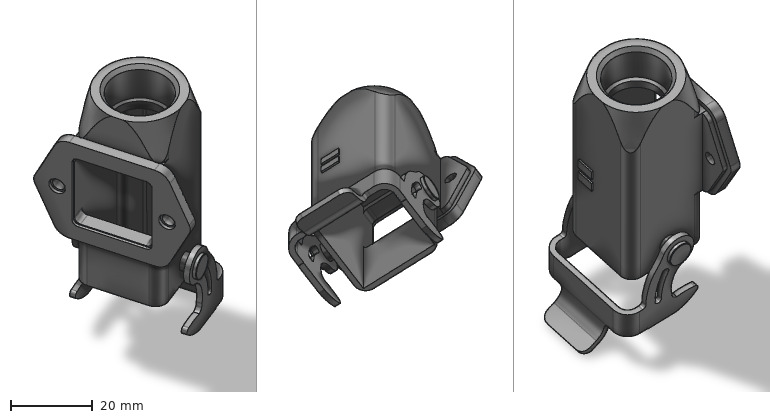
import cadquery as cq
import math

BODY_W = 24.0
HALF_BODY = BODY_W / 2
BODY_H = 57.3
BODY_CORNER_R = 3.5
WALL = 1.4
CAVITY_W = BODY_W - 2 * WALL

CONE_TOP_R = 12.1
CONE_LOW_R = 15.55
CONE_H = 11.2

MOUTH_R = 9.7
BORE_R = 8.7
BORE_DEPTH = 10.2
THROAT_R = 7.5
THROAT_LEN = 2.4
CAVITY_H = BODY_H - BORE_DEPTH - THROAT_LEN
CAVITY_CORNER_R = 2.1

RIB_BASE_W = 8.9
RIB_H = 1.8
RIB_CREST_LOW_W = 4.8
RIB_CREST_TOP_W = 5.4

FLANGE_Z = 32.05
FLANGE_H = 30.95
FLANGE_TIP_X = 21.7
FLANGE_SHOULDER_X = 14.6
FLANGE_CORNER_R = 4.6
FLANGE_TIP_R = 3.2
FLANGE_FACE_Y = -15.2
FLANGE_T = 2.9
FLANGE_BACK_Y = FLANGE_FACE_Y + FLANGE_T
PAD_INSET = 1.4
PAD_T = 1.35
PAD_BACK_Y = FLANGE_BACK_Y + PAD_T
SCREW_X = 15.0
SCREW_D = 3.4
COUNTERBORE_D = 4.5
COUNTERBORE_DEPTH = 0.95
WINDOW_W = CAVITY_W
WINDOW_CORNER_R = 1.6
WINDOW_REBATE = 0.3
WINDOW_REBATE_DEPTH = 0.8

MARKER_X = 4.6
MARKER_W = 5.2
MARKER_H = 2.8
MARKER_T = 0.5
MARKER_CENTRES_Z = (23.5, 27.75)

PIN_Z = 6.5
PIN_R = 2.5
HEAD_R = 3.35
HEAD_T = 1.0
HEAD_CHAMFER = 0.15

LEVER_HALF_W = 16.0
LEVER_T = 1.6
LEVER_BACK_Y = 16.75
LEVER_BEND_R = 4.55
LEVER_TOP_Z = -6.45
LEVER_LOW_Z = -14.4
HOOK_LOW_Z = -14.7
EYE_R = 5.0
SLOT_W = 2.0
TAB_W = 16.3
TAB_BEND_R = 4.95
TAB_BEND_ANGLE = 62.0
TAB_STRAIGHT = 4.9
TAB_CORNER_R = 2.6
TAB_ROOT_R = 1.3

EYE_REAR = (4.5, 8.85)
EYE_FRONT = (-2.55, 2.2)
ARM_REAR = [(5.6, 6.7), (8.1, 2.95), (9.7, -1.75), (10.1, -5.4)]
ARM_START_DIRECTION = (0.4, -0.9)
ARM_END_DIRECTION = (0, -1)
ARM_ROOT_R = 1.0
HEEL_Y = 9.5
HOOK_BOTTOM_Y = 0.6
HOOK_UNDERSIDE = (-2.55, -13.6)
HOOK_TIP_LOW = (-6.0, -11.25)
HOOK_TIP = (-6.3, -10.4)
HOOK_TIP_HIGH = (-5.3, -9.4)
HOOK_TOP_MID = (-2.55, -9.2)
THROAT_LOW = (0.4, -9.3)
THROAT_CORNER = (1.35, -8.8)
THROAT_FRONT = (1.9, -7.2)
THROAT_MID = (2.1, -3.9)
THROAT_TOP = (1.0, -0.6)
EYE_BLEND = (-0.5, 1.2)
SLOT_TOP = (3.9, 2.15)
SLOT_MID = (5.6, -1.75)
SLOT_LOW = (6.2, -6.5)


def make_body():
    """Square tube with rounded edges, its upper corners trimmed by the cone."""
    body = cq.Workplane("XY").rect(BODY_W, BODY_W).extrude(BODY_H).edges("|Z").fillet(BODY_CORNER_R)
    slope = (CONE_LOW_R - CONE_TOP_R) / CONE_H
    cone = (
        cq.Workplane("XZ")
        .polyline([(0, 0), (CONE_TOP_R + slope * BODY_H, 0), (CONE_TOP_R, BODY_H), (0, BODY_H)])
        .close()
        .revolve(360, (0, 0, 0), (0, 1, 0))
    )
    return body.intersect(cone)


def make_flange():
    """Six-sided plate, with a smaller pad behind it that meets the body."""
    half_h = FLANGE_H / 2
    corners = [
        (FLANGE_TIP_X, 0), (FLANGE_SHOULDER_X, half_h), (-FLANGE_SHOULDER_X, half_h),
        (-FLANGE_TIP_X, 0), (-FLANGE_SHOULDER_X, -half_h), (FLANGE_SHOULDER_X, -half_h),
    ]
    outline = cq.Workplane("XZ", origin=(0, FLANGE_BACK_Y, FLANGE_Z)).polyline(corners).close()
    flange = outline.extrude(FLANGE_T)
    flange = flange.edges("|Y").edges("<X or >X").fillet(FLANGE_TIP_R)
    flange = flange.edges("|Y").edges("<Z or >Z").fillet(FLANGE_CORNER_R)
    pad = flange.faces(">Y").wires().toPending().offset2D(-PAD_INSET).extrude(-PAD_T, combine=False)

    pad_h = FLANGE_H - 2 * PAD_INSET
    depth = BODY_CORNER_R - HALF_BODY - FLANGE_BACK_Y
    filler = cq.Workplane("XY").box(BODY_W, depth, pad_h, centered=(True, False, True))
    return flange.union(pad).union(filler.translate((0, FLANGE_BACK_Y, FLANGE_Z)))


def make_cavity():
    """Square cavity, open at the bottom, less the rib that stays in it."""
    cavity = cq.Workplane("XY").rect(CAVITY_W, CAVITY_W).extrude(CAVITY_H)
    cavity = cavity.edges("|Z and >Y").fillet(CAVITY_CORNER_R)

    def rib_section(z, crest_w):
        base_y = CAVITY_W / 2
        crest_y = base_y - RIB_H
        points = [
            (-RIB_BASE_W / 2, base_y), (-crest_w / 2, crest_y),
            (crest_w / 2, crest_y), (RIB_BASE_W / 2, base_y),
        ]
        return cq.Wire.makePolygon([cq.Vector(x, y, z) for x, y in points], close=True)

    low_section = rib_section(0, RIB_CREST_LOW_W)
    top_section = rib_section(CAVITY_H, RIB_CREST_TOP_W)
    rib = cq.Solid.makeLoft([low_section, top_section], True)
    return cavity.cut(cq.Workplane(rib))


def make_cable_entry():
    """Chamfered bore in the mouth, stepping down to a narrower throat."""
    chamfer = MOUTH_R - BORE_R
    bore_z = BODY_H - BORE_DEPTH
    profile = [
        (0, CAVITY_H), (THROAT_R, CAVITY_H), (THROAT_R, bore_z), (BORE_R, bore_z),
        (BORE_R, BODY_H - chamfer), (MOUTH_R, BODY_H), (0, BODY_H),
    ]
    return cq.Workplane("XZ").polyline(profile).close().revolve(360, (0, 0, 0), (0, 1, 0))


def make_flange_openings():
    """Rebated window into the cavity and two counterbored screw holes."""
    face = cq.Workplane("XZ", origin=(0, FLANGE_FACE_Y, FLANGE_Z))

    def rounded_square(width, depth):
        return face.rect(width, width).extrude(-depth).edges("|Y").fillet(WINDOW_CORNER_R)

    window = rounded_square(WINDOW_W, WALL - HALF_BODY - FLANGE_FACE_Y)
    rebate = rounded_square(WINDOW_W + 2 * WINDOW_REBATE, WINDOW_REBATE_DEPTH)
    centres = face.pushPoints([(-SCREW_X, 0), (SCREW_X, 0)])
    screws = centres.circle(SCREW_D / 2).extrude(FLANGE_FACE_Y - PAD_BACK_Y)
    counterbores = centres.circle(COUNTERBORE_D / 2).extrude(-COUNTERBORE_DEPTH)
    return window.union(rebate).union(screws).union(counterbores)


def make_markers():
    """Two shallow bars on the rear wall."""
    rear = cq.Workplane("XZ", origin=(0, HALF_BODY, 0))
    centres = [(MARKER_X, z) for z in MARKER_CENTRES_Z]
    return rear.pushPoints(centres).rect(MARKER_W, MARKER_H).extrude(-MARKER_T)


def make_pins():
    """Headed pivot pins, one out of each side wall."""
    root_x = HALF_BODY - WALL
    pin = cq.Workplane("YZ", origin=(root_x, 0, PIN_Z)).circle(PIN_R).extrude(LEVER_HALF_W - root_x)
    head = cq.Workplane("YZ", origin=(LEVER_HALF_W, 0, PIN_Z)).circle(HEAD_R).extrude(HEAD_T)
    pin = pin.union(head.faces(">X").chamfer(HEAD_CHAMFER))
    return pin.union(pin.mirror("YZ"))


def make_lever_strip():
    """U-shaped strip, open toward -Y, from which the lever is trimmed."""
    outer = cq.Workplane("XY").box(2 * LEVER_HALF_W, 2 * LEVER_BACK_Y, BODY_H)
    outer = outer.edges("|Z and >Y").fillet(LEVER_BEND_R)
    inner = cq.Workplane("XY").box(2 * (LEVER_HALF_W - LEVER_T), 2 * LEVER_BACK_Y, BODY_H)
    inner = inner.translate((0, -LEVER_T, 0)).edges("|Z and >Y").fillet(LEVER_BEND_R - LEVER_T)
    return outer.cut(inner)


def make_lever_profile():
    """Side shape of the lever: eye, curved arm, rear strap and hook."""
    root_end = (ARM_REAR[-1][0] + ARM_ROOT_R, LEVER_TOP_Z)
    profile = (
        cq.Workplane("YZ", origin=(-LEVER_HALF_W, 0, 0))
        .moveTo(*EYE_REAR)
        .spline(ARM_REAR, tangents=[ARM_START_DIRECTION, ARM_END_DIRECTION], includeCurrent=True)
        .tangentArcPoint(root_end, relative=False)
        .lineTo(LEVER_BACK_Y, LEVER_TOP_Z)
        .lineTo(LEVER_BACK_Y, LEVER_LOW_Z)
        .lineTo(HEEL_Y, LEVER_LOW_Z)
        .lineTo(HEEL_Y, HOOK_LOW_Z)
        .lineTo(HOOK_BOTTOM_Y, HOOK_LOW_Z)
        .threePointArc(HOOK_UNDERSIDE, HOOK_TIP_LOW)
        .threePointArc(HOOK_TIP, HOOK_TIP_HIGH)
        .threePointArc(HOOK_TOP_MID, THROAT_LOW)
        .threePointArc(THROAT_CORNER, THROAT_FRONT)
        .threePointArc(THROAT_MID, THROAT_TOP)
        .threePointArc(EYE_BLEND, EYE_FRONT)
        .threePointArc((0, PIN_Z + EYE_R), EYE_REAR)
        .close()
        .extrude(2 * LEVER_HALF_W)
    )
    return profile.cut(make_lever_slot())


def make_lever_slot():
    """Curved round-ended slot through both arms."""
    centre_line = cq.Workplane("YZ", origin=(-LEVER_HALF_W, 0, 0)).moveTo(*SLOT_TOP)
    centre_line = centre_line.threePointArc(SLOT_MID, SLOT_LOW).wire()
    return centre_line.offset2D(SLOT_W / 2).extrude(2 * LEVER_HALF_W)


def make_tab():
    """Finger tab that curls back from the bottom of the strap."""
    angle = math.radians(TAB_BEND_ANGLE)
    centre_y = LEVER_BACK_Y + TAB_BEND_R
    run_y = math.sin(angle)
    run_z = -math.cos(angle)

    def on_bend(radius, share):
        turn = angle * share
        return (centre_y - radius * math.cos(turn), LEVER_LOW_Z - radius * math.sin(turn))

    def tip_from(start):
        return (start[0] + TAB_STRAIGHT * run_y, start[1] + TAB_STRAIGHT * run_z)

    outer_r = TAB_BEND_R + LEVER_T
    curl = (
        cq.Workplane("YZ", origin=(-LEVER_HALF_W, 0, 0))
        .moveTo(*on_bend(TAB_BEND_R, 0))
        .threePointArc(on_bend(TAB_BEND_R, 0.5), on_bend(TAB_BEND_R, 1))
        .lineTo(*tip_from(on_bend(TAB_BEND_R, 1)))
        .lineTo(*tip_from(on_bend(outer_r, 1)))
        .lineTo(*on_bend(outer_r, 1))
        .threePointArc(on_bend(outer_r, 0.5), on_bend(outer_r, 0))
        .close()
        .extrude(2 * LEVER_HALF_W)
    )
    half_w = TAB_W / 2
    root_x = half_w + TAB_ROOT_R
    root_z = LEVER_LOW_Z - TAB_ROOT_R
    low_z = LEVER_LOW_Z - outer_r - TAB_STRAIGHT
    blank = (
        cq.Workplane("XZ")
        .moveTo(-root_x, LEVER_LOW_Z)
        .lineTo(root_x, LEVER_LOW_Z)
        .radiusArc((half_w, root_z), -TAB_ROOT_R)
        .lineTo(half_w, low_z)
        .lineTo(-half_w, low_z)
        .lineTo(-half_w, root_z)
        .radiusArc((-root_x, LEVER_LOW_Z), -TAB_ROOT_R)
        .close()
        .extrude(-2 * LEVER_BACK_Y)
    )
    tab = curl.intersect(blank)
    tip_y, tip_z = tip_from(on_bend(TAB_BEND_R + LEVER_T / 2, 1))
    for x in (-half_w, half_w):
        tip_corner = cq.selectors.NearestToPointSelector((x, tip_y, tip_z))
        tab = tab.edges(tip_corner).fillet(TAB_CORNER_R)
    return tab


housing = make_body().union(make_flange()).union(make_markers())
housing = housing.cut(make_cavity()).cut(make_cable_entry()).cut(make_flange_openings())
lever = make_lever_strip().intersect(make_lever_profile()).union(make_tab())
result = housing.union(make_pins()).union(lever)